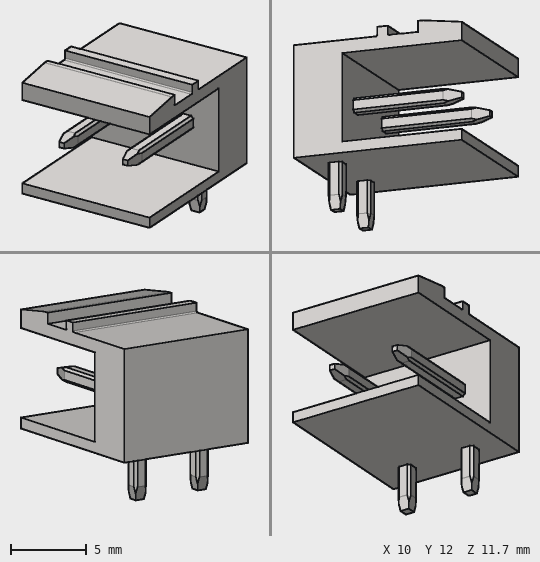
import cadquery as cq

width = 10.0
depth = 12.0
body_height = 7.74
floor_thickness = 0.75
cavity_top = 6.84
cavity_depth = 8.55

rib_front = 5.28
rib_width = 0.75
rib_top = 8.39
rib_root_radius = 0.1

latch_back = 3.13
latch_flat = 0.36
latch_top = 8.5
latch_front_height = 8.11

pin_pitch = 5.0
pin_size = 1.0
pin_chamfer = 0.18
pin_height = 3.79
leg_y = 9.9
contact_tip_y = 0.94
contact_taper = 1.21
contact_tip_size = 0.4
leg_length = 3.2
leg_taper = 0.97
leg_tip_size = 0.65


def make_housing():
    """U-shaped housing with the rib and the latch step on its upper wall."""
    rib_back = rib_front + rib_width
    profile = (
        cq.Workplane("YZ")
        .moveTo(0, 0)
        .lineTo(depth, 0)
        .lineTo(depth, body_height)
        .lineTo(rib_back + rib_root_radius, body_height)
        .radiusArc((rib_back, body_height + rib_root_radius), rib_root_radius)
        .lineTo(rib_back, rib_top)
        .lineTo(rib_front, rib_top)
        .lineTo(rib_front, body_height + rib_root_radius)
        .radiusArc((rib_front - rib_root_radius, body_height), rib_root_radius)
        .lineTo(latch_back, body_height)
        .lineTo(latch_back, latch_top)
        .lineTo(latch_back - latch_flat, latch_top)
        .lineTo(0, latch_front_height)
        .lineTo(0, cavity_top)
        .lineTo(cavity_depth, cavity_top)
        .lineTo(cavity_depth, floor_thickness)
        .lineTo(0, floor_thickness)
        .close()
    )
    return profile.extrude(width / 2, both=True)


def make_pointed_bar(length, taper_length, tip_size):
    """Chamfered square bar from Z = 0 up to a pyramidal point at Z = length."""
    bar = cq.Workplane("XY").rect(pin_size, pin_size).extrude(length)
    bar = bar.edges("|Z").chamfer(pin_chamfer)
    straight_length = length - taper_length
    envelope = cq.Workplane("XY").rect(pin_size, pin_size).extrude(straight_length)
    point = (
        cq.Workplane("XY")
        .workplane(offset=straight_length)
        .rect(pin_size, pin_size)
        .workplane(offset=taper_length)
        .rect(tip_size, tip_size)
        .loft(ruled=True)
    )
    return bar.intersect(envelope.union(point))


def make_pin(x):
    """Right-angle pin: contact arm toward -Y joined to a solder leg toward -Z."""
    bend_back = leg_y + pin_size / 2
    bend_top = pin_height + pin_size / 2
    origin = (0, 0, 0)
    arm = (
        make_pointed_bar(bend_back - contact_tip_y, contact_taper, contact_tip_size)
        .rotate(origin, (1, 0, 0), 90)
        .translate((x, bend_back, pin_height))
    )
    leg = (
        make_pointed_bar(bend_top + leg_length, leg_taper, leg_tip_size)
        .rotate(origin, (1, 0, 0), 180)
        .translate((x, leg_y, bend_top))
    )
    return arm.union(leg)


pins = [make_pin(side * pin_pitch / 2) for side in (-1, 1)]

housing = make_housing()
for pin in pins:
    housing = housing.cut(pin)

result = cq.Compound.makeCompound([housing.val(), *[pin.val() for pin in pins]])